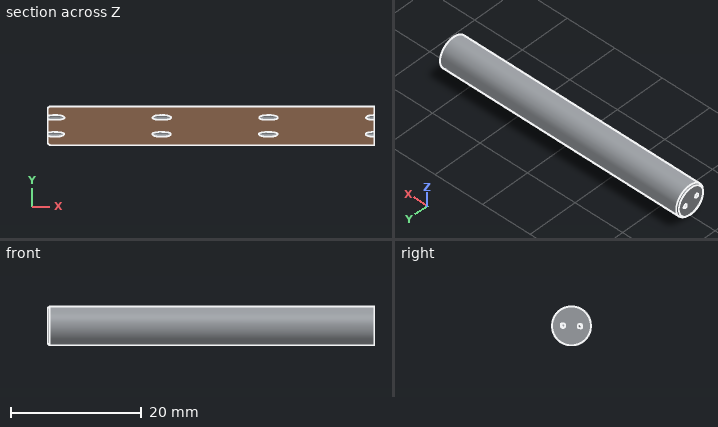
import cadquery as cq
import math

length = 50.0
diameter = 6.0
chamfer_size = 0.3

channel_diameter = 0.7
channel_pitch_circle = 2.6
channel_count = 2
start_angle = 167.5
helix_angle = 30.0
helix_lead = math.pi * diameter / math.tan(math.radians(helix_angle))


def make_rod():
    """Cylinder centred on the origin, with its -X rim chamfered."""
    rod = cq.Workplane("YZ").circle(diameter / 2).extrude(length / 2, both=True)
    return rod.faces("<X").edges().chamfer(chamfer_size)


def make_channels():
    """Right-handed helical channels running the full length of the rod."""
    twist = 360.0 * length / helix_lead
    return (
        cq.Workplane("YZ", origin=(-length / 2, 0, 0))
        .polarArray(channel_pitch_circle / 2, start_angle, 360, channel_count)
        .circle(channel_diameter / 2)
        .twistExtrude(length, twist)
    )


result = make_rod().cut(make_channels())